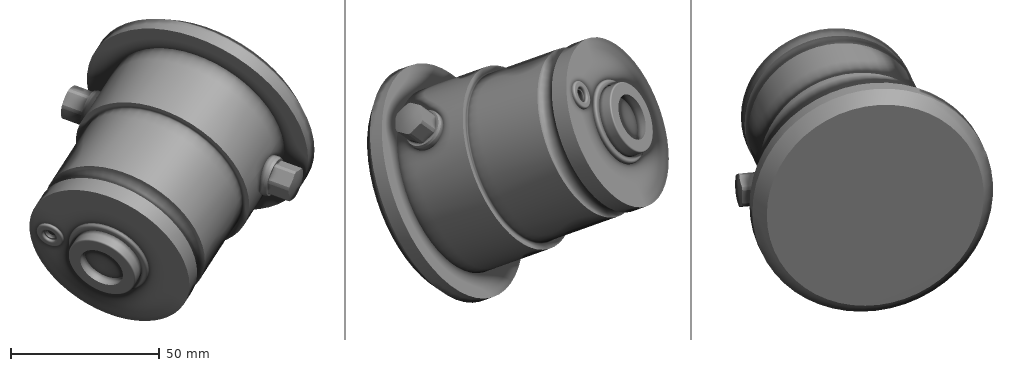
import cadquery as cq
import math

FLANGE_RADIUS = 41.5
FLANGE_THICKNESS = 9.0
FLANGE_CHAMFER = 4.1
HOUSING_RADIUS = 32.5
HOUSING_END = 36.0
BARREL_RADIUS = 30.0
BARREL_END = 77.0
ROOT_FILLET = 0.4
GROOVE_RADIUS = 3.0
GROOVE_CENTRE = 68.0

BOSS_RADIUS = 12.5
BOSS_END = 83.0
BOSS_FILLET = 0.5
BORE_RADIUS = 8.0
BORE_DEPTH = 3.5
COLLAR_RADIUS = 14.9
COLLAR_HEIGHT = 1.5
COLLAR_FILLET = 1.0
COLLAR_GAP = 0.3

PORT_OFFSET = 22.0
PORT_RADIUS = 5.0
PORT_HEIGHT = 1.1
PORT_LIP_FILLET = 0.7
PORT_MOUTH_RADIUS = 2.5
PORT_HOLE_RADIUS = 1.9
PORT_HOLE_DEPTH = 2.5

STUD_STATION = 21.0
STUD_TIP = 43.5
STUD_HEX_FLATS = 11.0
STUD_CORNER_RADIUS = 6.0
STUD_DOME_RADIUS = 20.0
STUD_ROOT = 26.1
STUD_COLLAR_RADIUS = 7.05
STUD_COLLAR_END = 34.9
STUD_COLLAR_BEVEL_LENGTH = 1.0
STUD_COLLAR_BEVEL_DEPTH = 0.35


def disc(radius, start, end, x=0.0):
    """Cylinder parallel to Y between two stations."""
    return cq.Workplane("XZ", origin=(x, -start, 0)).circle(radius).extrude(end - start)


def make_body():
    """Flange, housing and grooved barrel as one revolved profile."""
    return (
        cq.Workplane("XY")
        .moveTo(0, 0)
        .lineTo(FLANGE_RADIUS - FLANGE_CHAMFER, 0)
        .lineTo(FLANGE_RADIUS, -FLANGE_CHAMFER)
        .lineTo(FLANGE_RADIUS, -FLANGE_THICKNESS)
        .lineTo(HOUSING_RADIUS, -FLANGE_THICKNESS)
        .lineTo(HOUSING_RADIUS, -HOUSING_END)
        .lineTo(BARREL_RADIUS + ROOT_FILLET, -HOUSING_END)
        .radiusArc((BARREL_RADIUS, -HOUSING_END - ROOT_FILLET), -ROOT_FILLET)
        .lineTo(BARREL_RADIUS, -GROOVE_CENTRE + GROOVE_RADIUS)
        .threePointArc(
            (BARREL_RADIUS - GROOVE_RADIUS, -GROOVE_CENTRE),
            (BARREL_RADIUS, -GROOVE_CENTRE - GROOVE_RADIUS),
        )
        .lineTo(BARREL_RADIUS, -BARREL_END)
        .lineTo(0, -BARREL_END)
        .close()
        .revolve(360, (0, 0, 0), (0, 1, 0))
    )


def make_boss():
    """Bored shaft boss inside a rounded collar, with a thin gap between them."""
    collar_end = BARREL_END + COLLAR_HEIGHT
    collar = disc(COLLAR_RADIUS, BARREL_END, collar_end).faces("<Y").edges().fillet(COLLAR_FILLET)
    collar = collar.cut(disc(BOSS_RADIUS + COLLAR_GAP, BARREL_END, collar_end))
    boss = disc(BOSS_RADIUS, BARREL_END, BOSS_END).faces("<Y").edges().fillet(BOSS_FILLET)
    return collar.union(boss)


def make_port():
    """Low round rim with rounded outer and inner edges."""
    port_end = BARREL_END + PORT_HEIGHT
    rim = disc(PORT_RADIUS, BARREL_END, port_end, -PORT_OFFSET)
    rim = rim.cut(disc(PORT_MOUTH_RADIUS, BARREL_END, port_end, -PORT_OFFSET))
    return rim.faces("<Y").edges().fillet(PORT_LIP_FILLET)


def make_stud():
    """Domed hexagonal stud on a bevelled round collar, pointing to +X."""
    hex_diameter = STUD_HEX_FLATS / math.cos(math.radians(30))
    plane = cq.Workplane("YZ", origin=(STUD_ROOT, -STUD_STATION, 0))
    length = STUD_TIP - STUD_ROOT
    hexagon = plane.polygon(6, hex_diameter).extrude(length)
    hexagon = hexagon.rotate((0, -STUD_STATION, 0), (1, -STUD_STATION, 0), 90)
    corner_limit = plane.circle(STUD_CORNER_RADIUS).extrude(length)
    dome = cq.Workplane("XY").sphere(STUD_DOME_RADIUS)
    dome = dome.translate((STUD_TIP - STUD_DOME_RADIUS, -STUD_STATION, 0))
    head = hexagon.intersect(corner_limit).intersect(dome)

    collar = plane.circle(STUD_COLLAR_RADIUS).extrude(STUD_COLLAR_END - STUD_ROOT)
    collar = collar.faces(">X").chamfer(STUD_COLLAR_BEVEL_LENGTH, STUD_COLLAR_BEVEL_DEPTH)
    return collar.union(head)


stud = make_stud()
result = make_body().union(make_boss()).union(make_port())
result = result.union(stud).union(stud.mirror("YZ"))

shaft_bore = disc(BORE_RADIUS, BOSS_END - BORE_DEPTH, BOSS_END)
port_hole = disc(PORT_HOLE_RADIUS, BARREL_END + PORT_HEIGHT - PORT_HOLE_DEPTH, BARREL_END, -PORT_OFFSET)
result = result.cut(shaft_bore).cut(port_hole)